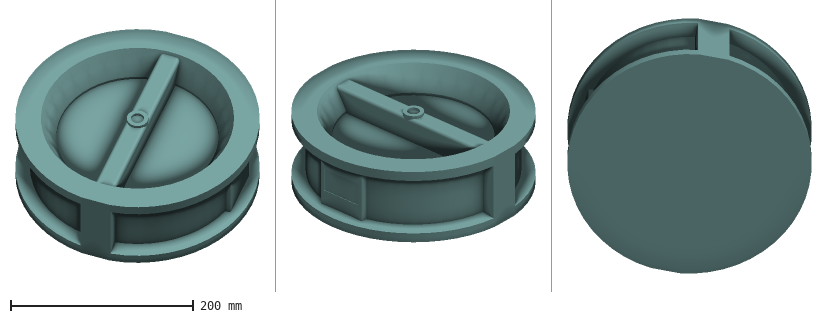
import cadquery as cq
import math

OUTER_RADIUS = 134.0
HEIGHT = 89.0
NECK_RADIUS = 118.2

RIM_THICKNESS = 11.3
ROOT_THICKNESS = 13.5

LUG_WIDTH = 35.0
FLAT_WIDTH = 32.7
FLAT_DISTANCE = math.sqrt(OUTER_RADIUS**2 - (FLAT_WIDTH / 2) ** 2)

PAD_DISTANCE = 120.0
PAD_FACE_WIDTH = 60.0
PAD_DRAFT = 15.0
PAD_CORNER_RADIUS = 2.7
PLATE_WIDTH = 49.5
PLATE_HEIGHT = 26.8
PLATE_DEPTH = 0.5

BORE_TOP_RADIUS = 105.9
BORE_FLOOR_RADIUS = 89.0
TAPER_DEPTH = 28.5
FLOOR_DEPTH = 31.5

BAR_WIDTH = 23.5
BAR_EDGE_RADIUS = 4.0
RING_HEIGHT = 3.5
RING_RADIUS = BAR_WIDTH / 2
RING_HOLE_RADIUS = 7.2


def flanges():
    """Solid disc at each end, with a shallow cone on its inner side."""
    profile = [
        (0, 0),
        (OUTER_RADIUS, 0),
        (OUTER_RADIUS, RIM_THICKNESS),
        (NECK_RADIUS, ROOT_THICKNESS),
        (0, ROOT_THICKNESS),
    ]
    lower = cq.Workplane("XZ").polyline(profile).close().revolve(360, (0, 0, 0), (0, 1, 0))
    upper = lower.mirror("XY").translate((0, 0, HEIGHT))
    return lower.union(upper)


def lugs():
    """Upright lugs on the +Y and -Y sides, ending on the flange rim circle."""
    web = cq.Workplane("XY").rect(LUG_WIDTH, 2 * OUTER_RADIUS).extrude(HEIGHT)
    return web.intersect(cq.Workplane("XY").circle(OUTER_RADIUS).extrude(HEIGHT))


def between_flats():
    """Block that trims the flanges and lugs to the two flats."""
    return cq.Workplane("XY").box(
        2 * OUTER_RADIUS, 2 * FLAT_DISTANCE, HEIGHT, centered=(True, True, False)
    )


def neck_with_pads():
    """Plain neck carrying the two flat marking pads, which widen towards the neck."""
    neck = cq.Workplane("XY").circle(NECK_RADIUS).extrude(HEIGHT)
    face_half = PAD_FACE_WIDTH / 2
    middle_half = face_half + PAD_DISTANCE * math.tan(math.radians(PAD_DRAFT))
    outline = [
        (PAD_DISTANCE, -face_half),
        (PAD_DISTANCE, face_half),
        (0, middle_half),
        (-PAD_DISTANCE, face_half),
        (-PAD_DISTANCE, -face_half),
        (0, -middle_half),
    ]
    pads = cq.Workplane("XY").polyline(outline).close().extrude(HEIGHT)
    for pad_face in (">X", "<X"):
        pads = pads.faces(pad_face).edges("|Z").fillet(PAD_CORNER_RADIUS)
    return neck.union(pads)


def plate_recess():
    """Shallow rectangular recess in the -X pad face."""
    return cq.Workplane("XY", origin=(-PAD_DISTANCE, 0, HEIGHT / 2)).box(
        2 * PLATE_DEPTH, PLATE_WIDTH, PLATE_HEIGHT
    )


def bore():
    """Taper followed by a short straight step down to the flat floor."""
    profile = [
        (0, HEIGHT - FLOOR_DEPTH),
        (BORE_FLOOR_RADIUS, HEIGHT - FLOOR_DEPTH),
        (BORE_FLOOR_RADIUS, HEIGHT - TAPER_DEPTH),
        (BORE_TOP_RADIUS, HEIGHT),
        (0, HEIGHT),
    ]
    return cq.Workplane("XZ").polyline(profile).close().revolve(360, (0, 0, 0), (0, 1, 0))


def bar():
    """Bar along Y with rounded upper edges, ending on the bore wall."""
    beam = (
        cq.Workplane("XY", origin=(0, 0, HEIGHT - FLOOR_DEPTH))
        .box(BAR_WIDTH, 2 * BORE_TOP_RADIUS, FLOOR_DEPTH - RING_HEIGHT, centered=(True, True, False))
        .edges("|Y and >Z")
        .fillet(BAR_EDGE_RADIUS)
    )
    return beam.intersect(bore())


def ring():
    """Ring on the middle of the bar, carried down past the bar's rounded edges."""
    top = cq.Workplane("XY", origin=(0, 0, HEIGHT))
    boss = top.circle(RING_RADIUS).extrude(-(RING_HEIGHT + BAR_EDGE_RADIUS))
    hole = top.circle(RING_HOLE_RADIUS).extrude(-RING_HEIGHT)
    return boss.cut(hole)


body = neck_with_pads().union(lugs()).union(flanges())
body = body.intersect(between_flats()).cut(plate_recess()).cut(bore())
result = body.union(bar()).union(ring())